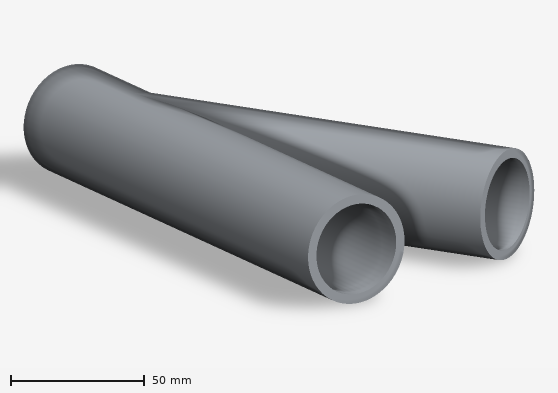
import cadquery as cq

outer_diameter = 42.3
bore_diameter = 35.0
run_length = 203.2
branch_length = 158.5
branch_angle = 30.0
branch_position = 44.5


def run_cylinder(diameter):
    """Cylinder along the straight run, starting at the YZ plane."""
    return cq.Workplane("YZ").circle(diameter / 2).extrude(run_length)


def branch_cylinder(diameter):
    """Cylinder along the branch, starting where the two axes cross."""
    return (
        cq.Workplane("YZ")
        .circle(diameter / 2)
        .extrude(branch_length)
        .rotate((0, 0, 0), (0, 0, 1), branch_angle)
        .translate((branch_position, 0, 0))
    )


body = run_cylinder(outer_diameter).union(branch_cylinder(outer_diameter))
bores = run_cylinder(bore_diameter).union(branch_cylinder(bore_diameter))
result = body.cut(bores)